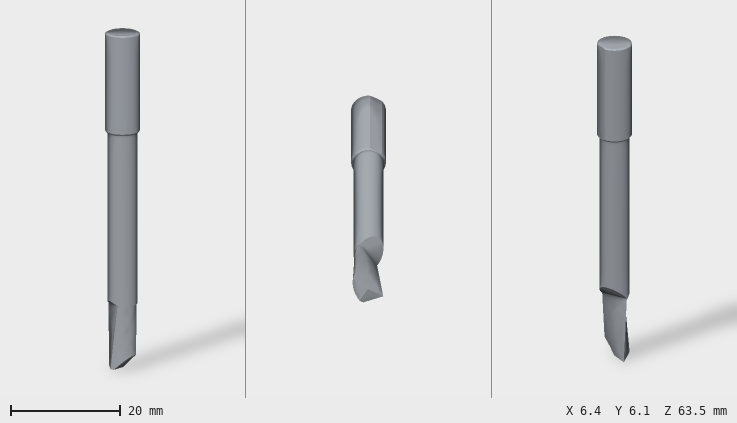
import cadquery as cq
import math

total_length = 63.5

shank_radius = 3.2
shank_length = 18.9
shank_flat_y = 2.9
top_chamfer_radial = 0.4
top_chamfer_height = 0.2
shoulder_chamfer = 0.4

neck_radius = 2.7
head_length = 12.25

head_top_radius = 2.6
head_tip_radius = 3.05
twist_angle = 26.0
flank_angle = 80.0
rake_angle = 180.0

relief_slope = 0.05
bevel_start_x = 0.1
bevel_angle = 45.0

runout_angle = 45.0

cutter_size = 50.8


def polar(radius, angle):
    """Point in the XY plane at the given radius and angle in degrees."""
    return (radius * math.cos(math.radians(angle)), radius * math.sin(math.radians(angle)))


def half_space(origin, x_direction, normal):
    """Large block on the side of a plane that its normal points to."""
    plane = cq.Plane(origin=origin, xDir=x_direction, normal=normal)
    return cq.Workplane(plane).rect(cutter_size, cutter_size).extrude(cutter_size)


def make_shank():
    shoulder_z = total_length - shank_length
    profile = [
        (0, shoulder_z),
        (shank_radius - shoulder_chamfer, shoulder_z),
        (shank_radius, shoulder_z + shoulder_chamfer),
        (shank_radius, total_length - top_chamfer_height),
        (shank_radius - top_chamfer_radial, total_length),
        (0, total_length),
    ]
    shank = cq.Workplane("XZ").polyline(profile).close().revolve(360, (0, 0), (0, 1))
    clamping_flat = half_space((0, shank_flat_y, total_length), (1, 0, 0), (0, 1, 0))
    return shank.cut(clamping_flat)


def runout(radius, start_angle, end_angle):
    """Sloping cutter that rises outwards from a chord at the top of the head."""
    start_x, start_y = polar(radius, start_angle)
    end_x, end_y = polar(radius, end_angle)
    chord = cq.Vector(end_x - start_x, end_y - start_y, 0)
    outward = chord.cross(cq.Vector(0, 0, 1)).normalized()
    slope = math.radians(runout_angle)
    normal = outward * math.sin(slope) - cq.Vector(0, 0, math.cos(slope))
    middle = ((start_x + end_x) / 2, (start_y + end_y) / 2, head_length)
    return half_space(middle, chord, normal)


def make_neck():
    neck_length = total_length - shank_length - head_length
    neck = cq.Workplane("XY").workplane(offset=head_length).circle(neck_radius).extrude(neck_length)
    rake_start = rake_angle + twist_angle
    rake_runout = runout(head_top_radius, rake_start - 180, rake_start)
    flank_runout = runout(head_top_radius, rake_start, rake_start + flank_angle)
    return neck.cut(rake_runout).cut(flank_runout)


def head_section(radius, start_angle, z):
    """Half disc whose first part is trimmed by the flank chord."""
    flank_end = start_angle + flank_angle
    arc_end = start_angle + 180
    return (
        cq.Workplane("XY")
        .workplane(offset=z)
        .moveTo(*polar(radius, start_angle))
        .lineTo(*polar(radius, flank_end))
        .threePointArc(polar(radius, (flank_end + arc_end) / 2), polar(radius, arc_end))
        .close()
        .val()
    )


def make_head():
    tip_section = head_section(head_tip_radius, rake_angle, 0)
    top_section = head_section(head_top_radius, rake_angle + twist_angle, head_length)
    head = cq.Workplane(cq.Solid.makeLoft([tip_section, top_section], True))

    relief = half_space((-head_tip_radius, 0, 0), (1, 0, relief_slope), (relief_slope, -relief_slope, -1))

    bevel_start_z = relief_slope * (bevel_start_x + head_tip_radius)
    slope = math.radians(bevel_angle)
    bevel = half_space((bevel_start_x, 0, bevel_start_z), (0, 1, 0), (math.sin(slope), 0, -math.cos(slope)))
    return head.cut(relief).cut(bevel)


result = make_shank().union(make_neck()).union(make_head())